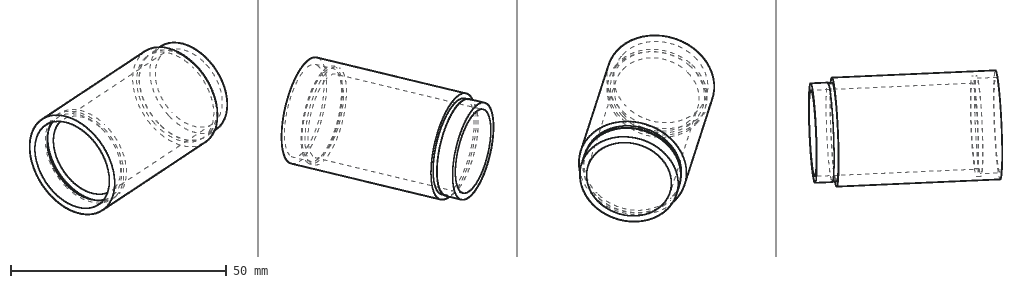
import cadquery as cq

body_diameter = 25.4
body_length = 38.1
bore_diameter = 20.0

spigot_diameter = 23.2
spigot_length = 5.0
spigot_relief_diameter = 23.0

socket_diameter = 22.2
socket_depth = 5.5
socket_relief_diameter = 23.4

relief_width = 1.0

total_length = body_length + spigot_length


def cylinder(diameter, start, end):
    """Solid cylinder on the Y axis, from Y = start to Y = end."""
    plane = cq.Plane(origin=(0, start, 0), xDir=(1, 0, 0), normal=(0, 1, 0))
    return cq.Workplane(plane).circle(diameter / 2).extrude(end - start)


def make_outside():
    """Body with the stepped-down spigot, before boring."""
    relief_end = body_length + relief_width
    body = cylinder(body_diameter, 0, body_length)
    relief = cylinder(spigot_relief_diameter, body_length, relief_end)
    spigot = cylinder(spigot_diameter, relief_end, total_length)
    return body.union(relief).union(spigot)


def make_inside():
    """Through bore, socket and socket relief groove as one cutting solid."""
    bore = cylinder(bore_diameter, 0, total_length)
    socket = cylinder(socket_diameter, 0, socket_depth)
    relief = cylinder(socket_relief_diameter, socket_depth - relief_width, socket_depth)
    return bore.union(socket).union(relief)


result = make_outside().cut(make_inside())